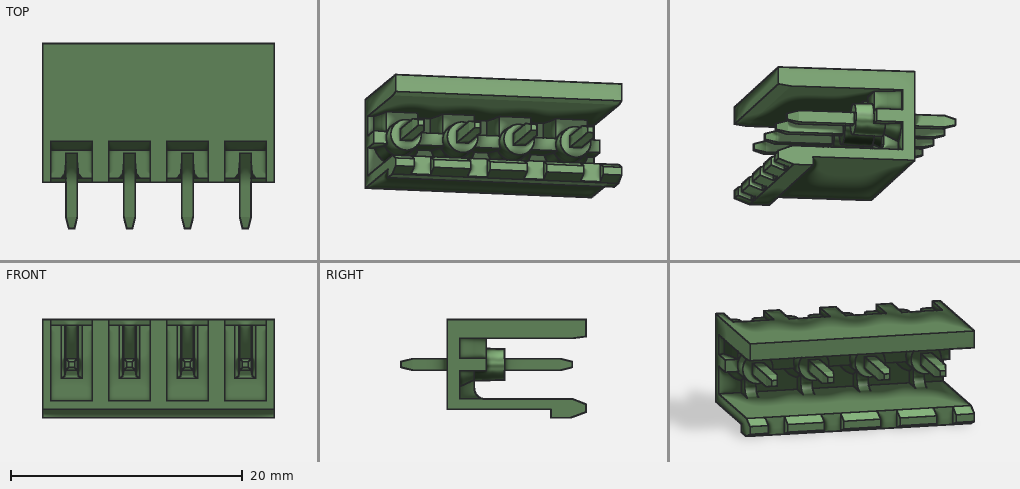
import cadquery as cq

POSITIONS = 4
PITCH = 5.0
LENGTH = POSITIONS * PITCH
DEPTH = 12.0
HEIGHT = 8.5

HOUSING_BOTTOM = 0.72
FLOOR_TOP = 1.63
ROOF_UNDERSIDE = 6.86
WALL = 1.07
ROOF_LEAD_IN_LENGTH = 1.1
ROOF_LEAD_IN_RISE = 0.15

LATCH_BACK_Y = 8.95
LATCH_LOWER_BEVEL_Y = 10.67
LATCH_UPPER_BEVEL_Y = 10.83
LATCH_TIP_LOW = 0.49
LATCH_TIP_HIGH = 1.17
LATCH_NOTCH_WIDTH = 1.73

PIN_SIZE = 1.0
PIN_TIP_SIZE = 0.5
PIN_Z = 4.6
PIN_TAIL_Y = -4.0
PIN_NOSE_Y = 10.8
PIN_TAPER = 1.0

RAIL_Y = 3.38
RAIL_HEIGHT = 1.08
BOSS_END_Y = 4.95
BOSS_END_RADIUS = 1.34
BOSS_RAIL_RADIUS = 1.4
FLARE_Y = 2.36
FLARE_RADIUS = 1.41
BOSS_ROOT_RADIUS = 1.98
BLOCK_FLARE_Y = 2.29
BLOCK_FLARE_HALF_WIDTH = 1.6
GUSSET_WIDTH = 1.0
GUSSET_FILLET = 0.9

RECESS_WIDTH = 3.6
RECESS_DEPTH = 0.35
RECESS_BOTTOM = 1.47
RECESS_SHELF_Z = 8.0
RECESS_SHELF_Y = 2.78
RECESS_BACK_Y = 3.53

SLOT_END_Y = 2.5
SLOT_MOUTH_WIDTH = 1.8
SLOT_MOUTH_BOTTOM = 3.41
SLOT_THROAT_Y = 0.74
SLOT_THROAT_WIDTH = 1.18
SLOT_TAPER_END_Y = 1.76

PIN_POSITIONS = [(i - (POSITIONS - 1) / 2) * PITCH for i in range(POSITIONS)]


def extrude_along_x(points, width, center_x=0.0):
    """Extrude a (y, z) outline symmetrically about x = center_x."""
    outline = cq.Workplane("YZ", origin=(center_x, 0, 0)).polyline(points).close()
    return outline.extrude(width / 2, both=True)


def rectangle_loft(start, end):
    """Loft between two rectangles, each given as (y, x_center, width, z_low, z_high)."""
    wires = []
    for y, x, width, z_low, z_high in (start, end):
        corners = [
            cq.Vector(x - width / 2, y, z_low),
            cq.Vector(x + width / 2, y, z_low),
            cq.Vector(x + width / 2, y, z_high),
            cq.Vector(x - width / 2, y, z_high),
        ]
        wires.append(cq.Wire.makePolygon(corners, close=True))
    return cq.Workplane(cq.Solid.makeLoft(wires, True))


def housing_shell():
    """Back wall, roof with lead-in and floor with latch lip."""
    return extrude_along_x(
        [
            (0, HOUSING_BOTTOM),
            (LATCH_BACK_Y, HOUSING_BOTTOM),
            (LATCH_BACK_Y, 0),
            (LATCH_LOWER_BEVEL_Y, 0),
            (DEPTH, LATCH_TIP_LOW),
            (DEPTH, LATCH_TIP_HIGH),
            (LATCH_UPPER_BEVEL_Y, FLOOR_TOP),
            (WALL, FLOOR_TOP),
            (WALL, ROOF_UNDERSIDE),
            (DEPTH - ROOF_LEAD_IN_LENGTH, ROOF_UNDERSIDE),
            (DEPTH, ROOF_UNDERSIDE + ROOF_LEAD_IN_RISE),
            (DEPTH, HEIGHT),
            (0, HEIGHT),
        ],
        LENGTH,
    )


def support_rail():
    """Bar along the inside of the wall at pin height."""
    return (
        cq.Workplane("XY")
        .box(LENGTH, RAIL_Y, RAIL_HEIGHT, centered=(True, False, True))
        .translate((0, 0, PIN_Z))
    )


def pin_boss(x):
    """Round boss about the pin axis, flared where it meets the wall."""
    half_section = [
        (0, 0),
        (BOSS_ROOT_RADIUS, 0),
        (BOSS_ROOT_RADIUS, WALL),
        (FLARE_RADIUS, FLARE_Y),
        (BOSS_RAIL_RADIUS, RAIL_Y),
        (BOSS_END_RADIUS, BOSS_END_Y),
        (0, BOSS_END_Y),
    ]
    boss = cq.Workplane("XY").polyline(half_section).close().revolve(360, (0, 0, 0), (0, 1, 0))
    return boss.translate((x, 0, PIN_Z))


def slot_block(x):
    """Block from the pin axis up to the roof that backs the slot, flared towards the wall."""
    plan = [
        (-BOSS_ROOT_RADIUS, WALL),
        (-BLOCK_FLARE_HALF_WIDTH, BLOCK_FLARE_Y),
        (-BOSS_RAIL_RADIUS, RAIL_Y),
        (BOSS_RAIL_RADIUS, RAIL_Y),
        (BLOCK_FLARE_HALF_WIDTH, BLOCK_FLARE_Y),
        (BOSS_ROOT_RADIUS, WALL),
    ]
    block = cq.Workplane("XY").polyline(plan).close().extrude(ROOF_UNDERSIDE - PIN_Z)
    return block.translate((x, 0, PIN_Z))


def gusset(x):
    """Rib below the boss, filleted into the floor."""
    fillet_top = FLOOR_TOP + GUSSET_FILLET
    return (
        cq.Workplane("YZ", origin=(x, 0, 0))
        .moveTo(WALL, FLOOR_TOP)
        .lineTo(FLARE_Y + GUSSET_FILLET, FLOOR_TOP)
        .radiusArc((FLARE_Y, fillet_top), GUSSET_FILLET)
        .lineTo(FLARE_Y, PIN_Z)
        .lineTo(WALL, PIN_Z)
        .close()
        .extrude(GUSSET_WIDTH / 2, both=True)
    )


def recess(x):
    """Shallow recess in the wall that steps back into the roof with a sloped end."""
    return extrude_along_x(
        [
            (0, RECESS_BOTTOM),
            (RECESS_DEPTH, RECESS_BOTTOM),
            (RECESS_DEPTH, RECESS_SHELF_Z),
            (RECESS_SHELF_Y, RECESS_SHELF_Z),
            (RECESS_BACK_Y, HEIGHT),
            (0, HEIGHT),
        ],
        RECESS_WIDTH,
        x,
    )


def pin_slot(x):
    """Slot above the pin: chamfered mouth, tapering throat, pin-wide end; one ramp forms its bottom."""
    pin_bottom = PIN_Z - PIN_SIZE / 2
    ramp_slope = (pin_bottom - SLOT_MOUTH_BOTTOM) / (SLOT_TAPER_END_Y - RECESS_DEPTH)
    throat_bottom = SLOT_MOUTH_BOTTOM + ramp_slope * (SLOT_THROAT_Y - RECESS_DEPTH)

    mouth = (RECESS_DEPTH, x, SLOT_MOUTH_WIDTH, SLOT_MOUTH_BOTTOM, RECESS_SHELF_Z)
    throat = (SLOT_THROAT_Y, x, SLOT_THROAT_WIDTH, throat_bottom, RECESS_SHELF_Z)
    taper_end = (SLOT_TAPER_END_Y, x, PIN_SIZE, pin_bottom, RECESS_SHELF_Z)
    end = (SLOT_END_Y, x, PIN_SIZE, pin_bottom, RECESS_SHELF_Z)
    slot = rectangle_loft(mouth, throat)
    slot = slot.union(rectangle_loft(throat, taper_end))
    return slot.union(rectangle_loft(taper_end, end)).clean()


def latch_notch(x):
    """Gap in the latch lip opposite a pin."""
    notch_depth = DEPTH - LATCH_UPPER_BEVEL_Y
    return (
        cq.Workplane("XY")
        .box(LATCH_NOTCH_WIDTH, notch_depth, FLOOR_TOP, centered=(True, False, False))
        .translate((x, LATCH_UPPER_BEVEL_Y, 0))
    )


def pin(x):
    """Square pin, tapered at both ends."""

    def section(y, size):
        return (y, x, size, PIN_Z - size / 2, PIN_Z + size / 2)

    tail_shoulder = section(PIN_TAIL_Y + PIN_TAPER, PIN_SIZE)
    nose_shoulder = section(PIN_NOSE_Y - PIN_TAPER, PIN_SIZE)
    shank = rectangle_loft(tail_shoulder, nose_shoulder)
    tail = rectangle_loft(section(PIN_TAIL_Y, PIN_TIP_SIZE), tail_shoulder)
    nose = rectangle_loft(nose_shoulder, section(PIN_NOSE_Y, PIN_TIP_SIZE))
    return shank.union(tail).union(nose)


result = housing_shell().union(support_rail())
for pin_x in PIN_POSITIONS:
    result = result.union(pin_boss(pin_x)).union(slot_block(pin_x)).union(gusset(pin_x))
    result = result.cut(recess(pin_x)).cut(pin_slot(pin_x)).cut(latch_notch(pin_x))
    result = result.union(pin(pin_x))